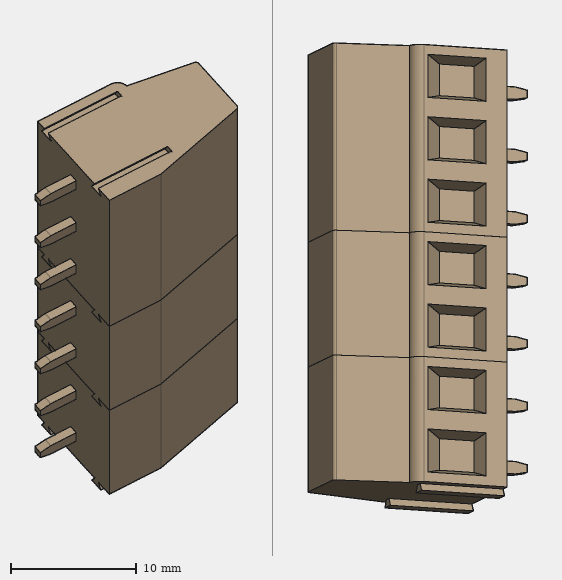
import cadquery as cq
import math


TOTAL_HEIGHT = 36.15
TOTAL_DEPTH = 17.6
WIDTH = 10.2

POLES_PER_BLOCK = [2, 2, 3]
TAIL_HEIGHT = 0.6
PITCH = (TOTAL_HEIGHT - TAIL_HEIGHT) / sum(POLES_PER_BLOCK)

PIN_LENGTH = 3.47
PIN_WIDTH = 0.8
PIN_HEIGHT = 1.0
PIN_TIP_HEIGHT = 0.6
PIN_TIP_LENGTH = 1.0

DEPTH = TOTAL_DEPTH - PIN_LENGTH
LEFT_X = -WIDTH / 2
RIGHT_X = WIDTH / 2
ENTRY_FACE_DEPTH = 7.1
SHOULDER_RADIUS = 0.95
SHOULDER_WIDTH = 0.85
RIGHT_FACE_DEPTH = 5.0
BACK_LEFT_INSET = 1.88
BACK_RIGHT_INSET = 2.4
BACK_CORNER_RADIUS = 0.3

TAIL_LENGTH = ENTRY_FACE_DEPTH
TAIL_NECK_WIDTH = 0.58
TAIL_BASE_WIDTH = 1.3
TAIL_EDGE_OFFSET = 1.23
TAIL_SPACING = 7.12
TAIL_CENTRES = [LEFT_X + TAIL_EDGE_OFFSET, LEFT_X + TAIL_EDGE_OFFSET + TAIL_SPACING]

FUNNEL_START_Y = 1.8
FUNNEL_END_Y = 6.75
FUNNEL_HEIGHT = 3.5
FLOOR_START_Y = 2.3
FLOOR_END_Y = 5.28
FLOOR_HEIGHT = 2.55
FUNNEL_DEPTH = 1.35


def housing_blank(height):
    """Constant-section housing standing on Z = 0."""
    shoulder_x = LEFT_X + SHOULDER_WIDTH
    short_of_crest = SHOULDER_RADIUS - SHOULDER_WIDTH
    shoulder_y = ENTRY_FACE_DEPTH + math.sqrt(SHOULDER_RADIUS**2 - short_of_crest**2)
    back_left = (LEFT_X + BACK_LEFT_INSET, DEPTH)
    back_right = (RIGHT_X - BACK_RIGHT_INSET, DEPTH)
    blank = (
        cq.Workplane("XY")
        .moveTo(LEFT_X, 0)
        .lineTo(RIGHT_X, 0)
        .lineTo(RIGHT_X, RIGHT_FACE_DEPTH)
        .lineTo(*back_right)
        .lineTo(*back_left)
        .lineTo(shoulder_x, shoulder_y)
        .radiusArc((LEFT_X, ENTRY_FACE_DEPTH), -SHOULDER_RADIUS)
        .close()
        .extrude(height)
    )
    return blank.faces(">Y").edges("|Z").fillet(BACK_CORNER_RADIUS)


def dovetails(top_z):
    """Pair of dovetail bars, narrow at top_z and widening downwards."""
    bars = cq.Workplane("XY")
    for centre_x in TAIL_CENTRES:
        bar = (
            cq.Workplane("XZ")
            .polyline([
                (centre_x - TAIL_NECK_WIDTH / 2, top_z),
                (centre_x + TAIL_NECK_WIDTH / 2, top_z),
                (centre_x + TAIL_BASE_WIDTH / 2, top_z - TAIL_HEIGHT),
                (centre_x - TAIL_BASE_WIDTH / 2, top_z - TAIL_HEIGHT),
            ])
            .close()
            .extrude(-TAIL_LENGTH)
        )
        bars = bars.add(bar)
    return bars.combine()


def wire_funnel(centre_z):
    """Tapered pocket volume for one pole, opening on the wire-entry face."""
    mouth_centre_y = (FUNNEL_START_Y + FUNNEL_END_Y) / 2
    floor_centre_y = (FLOOR_START_Y + FLOOR_END_Y) / 2
    return (
        cq.Workplane("YZ", origin=(LEFT_X, mouth_centre_y, centre_z))
        .rect(FUNNEL_END_Y - FUNNEL_START_Y, FUNNEL_HEIGHT)
        .workplane(offset=FUNNEL_DEPTH)
        .center(floor_centre_y - mouth_centre_y, 0)
        .rect(FLOOR_END_Y - FLOOR_START_Y, FLOOR_HEIGHT)
        .loft(ruled=True)
    )


def pin(centre_z):
    """Flat solder pin of one pole, narrowing in height at its tip."""
    taper_y = PIN_TIP_LENGTH - PIN_LENGTH
    half_height = PIN_HEIGHT / 2
    half_tip = PIN_TIP_HEIGHT / 2
    return (
        cq.Workplane("YZ", origin=(0, 0, centre_z))
        .polyline([
            (0, -half_height),
            (0, half_height),
            (taper_y, half_height),
            (-PIN_LENGTH, half_tip),
            (-PIN_LENGTH, -half_tip),
            (taper_y, -half_height),
        ])
        .close()
        .extrude(PIN_WIDTH / 2, both=True)
    )


def terminal_block(poles):
    """One complete block with its housing bottom at Z = 0."""
    height = poles * PITCH
    block = housing_blank(height).cut(dovetails(height)).union(dovetails(0))
    for pole in range(poles):
        centre_z = pole * PITCH + PITCH / 2
        block = block.cut(wire_funnel(centre_z)).union(pin(centre_z))
    return block


blocks = []
base_z = 0
for poles in POLES_PER_BLOCK:
    blocks.append(terminal_block(poles).translate((0, 0, base_z)).solids().val())
    base_z += poles * PITCH

result = cq.Compound.makeCompound(blocks)